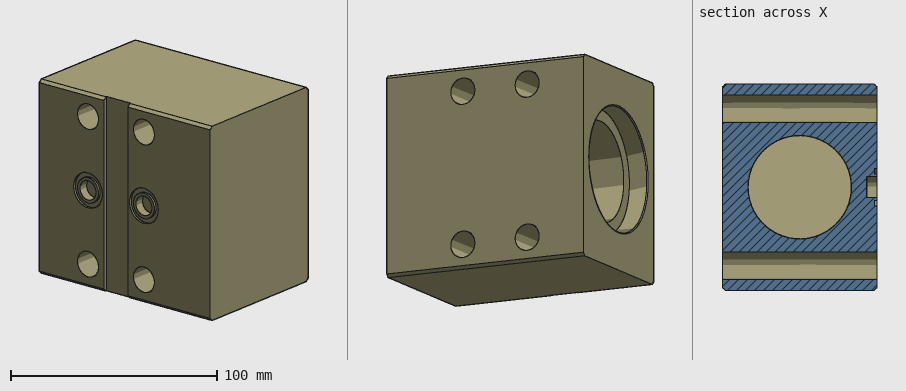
import cadquery as cq

length = 107.0
depth = 75.0
height = 100.0
edge_chamfer = 1.5

bore_diameter = 50.0
counterbore_diameter = 62.0
counterbore_depth = 10.0
mouth_diameter = 63.0
mouth_chamfer = (mouth_diameter - counterbore_diameter) / 2
bore_end_wall = 16.0

slot_centre_x = -5.5
slot_width = 15.0
slot_depth = 2.0
column_spacing = 35.0
mounting_row_spacing = 76.0
mounting_hole_diameter = 13.1

seal_groove_outer_diameter = 18.0
seal_groove_inner_diameter = 13.1
seal_groove_depth = 1.3
port_diameter = 10.0
port_depth = 5.0

left_face = -length / 2
front_face = -depth / 2
column_positions = [slot_centre_x - column_spacing / 2, slot_centre_x + column_spacing / 2]


def bore_cutter():
    """Revolve the stepped bore profile about the X axis."""
    bore_radius = bore_diameter / 2
    counterbore_radius = counterbore_diameter / 2
    bore_end = length / 2 - bore_end_wall
    profile = [
        (left_face, 0),
        (left_face, mouth_diameter / 2),
        (left_face + mouth_chamfer, counterbore_radius),
        (left_face + counterbore_depth, counterbore_radius),
        (left_face + counterbore_depth, bore_radius),
        (bore_end, bore_radius),
        (bore_end, 0),
    ]
    return cq.Workplane("XY").polyline(profile).close().revolve(360, (0, 0), (1, 0))


def front_face_cutter(diameter, cut_depth):
    """Cylinders sunk into the front face at mid height, one in each hole column."""
    return (
        cq.Workplane("XZ", origin=(0, front_face, 0))
        .pushPoints([(x, 0) for x in column_positions])
        .circle(diameter / 2)
        .extrude(-cut_depth)
    )


block = cq.Workplane("XY").box(length, depth, height).edges("|X").chamfer(edge_chamfer)

slot = (
    cq.Workplane("XY")
    .box(slot_width, slot_depth, height, centered=(True, False, True))
    .translate((slot_centre_x, front_face, 0))
)

mounting_points = [
    (x, side * mounting_row_spacing / 2) for x in column_positions for side in (-1, 1)
]
mounting_holes = (
    cq.Workplane("XZ")
    .pushPoints(mounting_points)
    .circle(mounting_hole_diameter / 2)
    .extrude(depth, both=True)
)

seal_grooves = front_face_cutter(seal_groove_outer_diameter, seal_groove_depth).cut(
    front_face_cutter(seal_groove_inner_diameter, seal_groove_depth)
)
ports = front_face_cutter(port_diameter, port_depth)

result = block
for cutter in (slot, mounting_holes, bore_cutter(), seal_grooves, ports):
    result = result.cut(cutter)